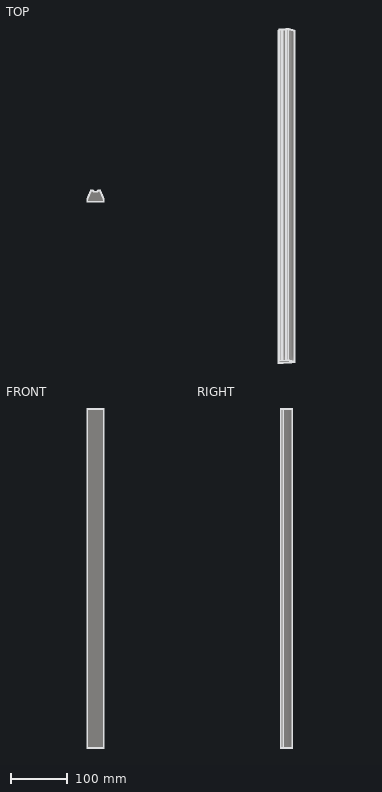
import cadquery as cq

length = 599.5
base_width = 30.0
height = 20.5

side_height = 4.0
crown_width = 16.0
groove_width = 9.0
floor_width = 5.5
groove_depth = 2.5

half_base = base_width / 2
half_crown = crown_width / 2
half_groove = groove_width / 2
half_floor = floor_width / 2
base_y = -height / 2
crown_y = height / 2
shoulder_y = base_y + side_height
floor_y = crown_y - groove_depth

right_half = [
    (half_base, base_y),
    (half_base, shoulder_y),
    (half_crown, crown_y),
    (half_groove, crown_y),
    (half_floor, floor_y),
]
left_half = [(-x, y) for x, y in reversed(right_half)]

result = (
    cq.Workplane("XY")
    .workplane(offset=-length / 2)
    .polyline(right_half + left_half)
    .close()
    .extrude(length)
)